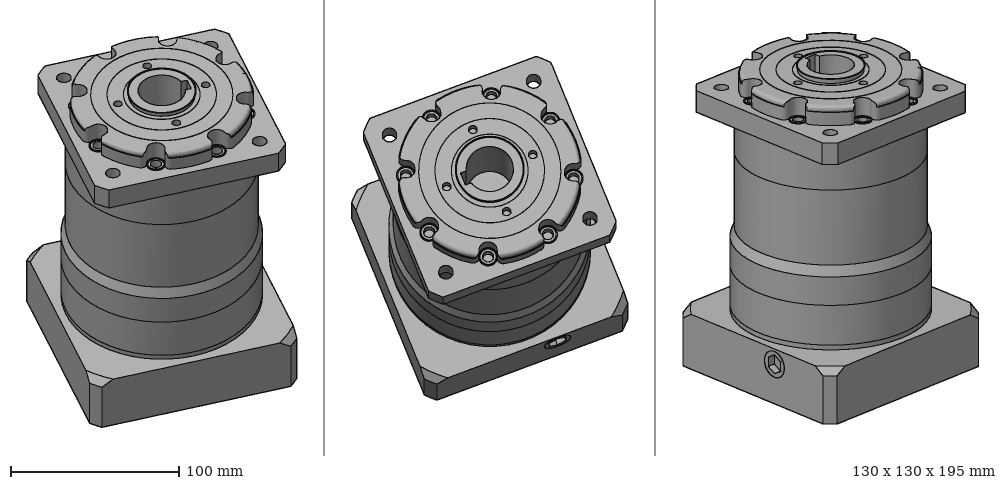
import cadquery as cq
import math

total_height = 195.0
plate_top = 35.9
spigot_top = 39.0
input_top = 65.0
taper_bottom = 83.5
taper_top = 90.0
gear_top = 139.0
flange_bottom = 166.0
flange_top = 180.0
pilot_top = 191.9

lower_radius = 60.0
upper_radius = 57.5

plate_side = 130.0
plate_corner_radius = 88.0
plate_bevel = 4.5

socket_y = -18.0
socket_z = 25.7
socket_across_flats = 10.5
socket_depth = 5.3
socket_seat_radius = 8.4
socket_seat_depth = 0.2

flange_side = 120.0
flange_corner_radius = 80.1
mount_hole_offset = 46.0
mount_hole_radius = 4.3

lobe_count = 8
pilot_radius = 55.0
pilot_step = 0.5
pilot_step_height = 8.5
pilot_edge_fillet = 2.3
lobe_corner_radius = 3.5

screw_circle_radius = 50.0
screw_pocket_radius = 5.5
screw_seat_radius = 5.7
screw_seat_depth = 0.4
screw_head_radius = 4.9
screw_socket_radius = 3.3
screw_socket_depth = 5.8

relief_depth = 0.2
face_relief_radius = 42.3
disc_radius = 32.5
disc_depth = 15.6
neck_relief_radius = 22.8
neck_radius = 19.9
lip_radius = 20.5
lip_height = 0.4
bore_radius = 14.0
bore_depth = 48.8
key_width = 8.0
key_reach = 17.2
disc_hole_count = 4
disc_hole_radius = 2.5
disc_hole_circle = 27.5
disc_hole_depth = 5.8


def cylinder(radius, bottom, top):
    """A cylinder on the Z axis between two heights."""
    return cq.Workplane("XY", origin=(0, 0, bottom)).circle(radius).extrude(top - bottom)


def turned_solid(outline):
    """A solid of revolution about Z from (radius, height) points."""
    return cq.Workplane("XZ").polyline(outline).close().revolve()


def turned_square(side, corner_radius, bottom, top, bevel=0):
    """A square block whose corners are turned to a cylinder, with an optional conical top bevel."""
    block = cq.Workplane("XY", origin=(0, 0, bottom)).rect(side, side).extrude(top - bottom)
    turning = cylinder(corner_radius, bottom, top)
    if bevel:
        turning = turning.faces(">Z").chamfer(bevel)
    return block.intersect(turning)


def hexagon_socket():
    """The shallow round seat and the hexagon recess, as one cutting tool."""
    side = cq.Workplane("YZ", origin=(-plate_side / 2, socket_y, socket_z))
    seat = side.circle(socket_seat_radius).extrude(socket_seat_depth)
    across_corners = socket_across_flats / math.cos(math.pi / 6)
    corner_up = side.transformed(rotate=(0, 0, 90))
    return seat.union(corner_up.polygon(6, across_corners).extrude(socket_depth))


def build_adapter_plate():
    """Square plate with beveled corners, a round spigot on top and a hexagon socket."""
    plate = turned_square(plate_side, plate_corner_radius, 0, plate_top, plate_bevel)
    plate = plate.union(cylinder(lower_radius, plate_top, spigot_top))
    return plate.cut(hexagon_socket())


def build_input_housing():
    """Plain round section between the adapter plate and the gear housing."""
    return cylinder(lower_radius, spigot_top, input_top)


def build_gear_housing():
    """Round section that tapers from the lower to the upper radius."""
    return turned_solid([
        (0, input_top),
        (lower_radius, input_top),
        (lower_radius, taper_bottom),
        (upper_radius, taper_top),
        (upper_radius, gear_top),
        (0, gear_top),
    ])


def lobe_gap():
    """Cutter for the gap centred on +X: a round pocket that flows into rounded lobe corners."""
    corner_circle = pilot_radius - lobe_corner_radius
    centre_distance = screw_pocket_radius + lobe_corner_radius
    corner_angle = math.acos(
        (corner_circle**2 + screw_circle_radius**2 - centre_distance**2)
        / (2 * corner_circle * screw_circle_radius)
    )
    pocket = cq.Vector(screw_circle_radius, 0)
    outward = cq.Vector(math.cos(corner_angle), math.sin(corner_angle))
    corner = outward * corner_circle
    to_pocket = (pocket - corner).normalized()
    on_rim = outward * pilot_radius
    on_pocket = corner + to_pocket * lobe_corner_radius
    on_corner = corner + (outward + to_pocket).normalized() * lobe_corner_radius
    beyond_rim = outward * (pilot_radius + lobe_corner_radius)
    pocket_floor = (screw_circle_radius - screw_pocket_radius, 0)

    def upper(point):
        return (point.x, point.y)

    def lower(point):
        return (point.x, -point.y)

    return (
        cq.Workplane("XY", origin=(0, 0, flange_top))
        .moveTo(*upper(beyond_rim))
        .lineTo(*upper(on_rim))
        .threePointArc(upper(on_corner), upper(on_pocket))
        .threePointArc(pocket_floor, lower(on_pocket))
        .threePointArc(lower(on_corner), lower(on_rim))
        .lineTo(*lower(beyond_rim))
        .close()
        .extrude(pilot_top - flange_top)
    )


def build_lobed_pilot():
    """Stepped round pilot with a rounded top edge, divided into lobes."""
    step_height = flange_top + pilot_step_height
    upper_part = cylinder(pilot_radius - pilot_step, step_height, pilot_top)
    upper_part = upper_part.faces(">Z").edges().fillet(pilot_edge_fillet)
    pilot = cylinder(pilot_radius, flange_top, step_height).union(upper_part)
    gap = lobe_gap()
    for i in range(lobe_count):
        angle = (i + 0.5) * 360 / lobe_count
        pilot = pilot.cut(gap.rotate((0, 0, 0), (0, 0, 1), angle))
    return pilot


def cut_screw_heads(housing):
    """Outline each screw head with a shallow ring and sink its socket."""
    places = cq.Workplane("XY", origin=(0, 0, flange_top)).polarArray(
        screw_circle_radius, 180 / lobe_count, 360, lobe_count
    )
    rings = places.circle(screw_seat_radius).extrude(-screw_seat_depth)
    heads = places.circle(screw_head_radius).extrude(-screw_seat_depth)
    sockets = places.circle(screw_socket_radius).extrude(-screw_socket_depth)
    return housing.cut(rings.cut(heads)).cut(sockets)


def build_output_housing():
    """Round section with the square flange, the lobed pilot and a stepped seat for the shaft."""
    flange = turned_square(flange_side, flange_corner_radius, flange_bottom, flange_top)
    mount_holes = (
        cq.Workplane("XY", origin=(0, 0, flange_bottom))
        .rect(2 * mount_hole_offset, 2 * mount_hole_offset, forConstruction=True)
        .vertices()
        .circle(mount_hole_radius)
        .extrude(flange_top - flange_bottom)
    )
    housing = flange.cut(mount_holes).union(cylinder(upper_radius, gear_top, flange_bottom))
    housing = cut_screw_heads(housing.union(build_lobed_pilot()))
    housing = housing.cut(cylinder(disc_radius, pilot_top - disc_depth, pilot_top))
    housing = housing.cut(cylinder(neck_radius, gear_top, pilot_top))
    return housing.cut(cylinder(face_relief_radius, pilot_top - relief_depth, pilot_top))


def build_output_shaft():
    """Shaft with a face disc, a lipped end, a keyed blind bore and a ring of small holes."""
    disc_bottom = pilot_top - disc_depth
    neck_bottom = pilot_top - relief_depth
    lip_bottom = total_height - lip_height
    shaft = turned_solid([
        (0, gear_top),
        (neck_radius, gear_top),
        (neck_radius, disc_bottom),
        (disc_radius, disc_bottom),
        (disc_radius, pilot_top),
        (neck_relief_radius, pilot_top),
        (neck_relief_radius, neck_bottom),
        (neck_radius, neck_bottom),
        (neck_radius, lip_bottom),
        (lip_radius, lip_bottom),
        (lip_radius, total_height),
        (0, total_height),
    ])
    bore_bottom = cq.Workplane("XY", origin=(0, 0, total_height - bore_depth))
    bore = bore_bottom.circle(bore_radius).extrude(bore_depth)
    keyway = bore_bottom.center(0, key_reach / 2).rect(key_width, key_reach).extrude(bore_depth)
    disc_holes = (
        cq.Workplane("XY", origin=(0, 0, pilot_top))
        .polarArray(disc_hole_circle, 0, 360, disc_hole_count)
        .circle(disc_hole_radius)
        .extrude(-disc_hole_depth)
    )
    return shaft.cut(bore).cut(keyway).cut(disc_holes)


adapter_plate = build_adapter_plate()
input_housing = build_input_housing()
gear_housing = build_gear_housing()
output_housing = build_output_housing()
output_shaft = build_output_shaft()

result = cq.Compound.makeCompound([
    adapter_plate.val(),
    input_housing.val(),
    gear_housing.val(),
    output_housing.val(),
    output_shaft.val(),
])